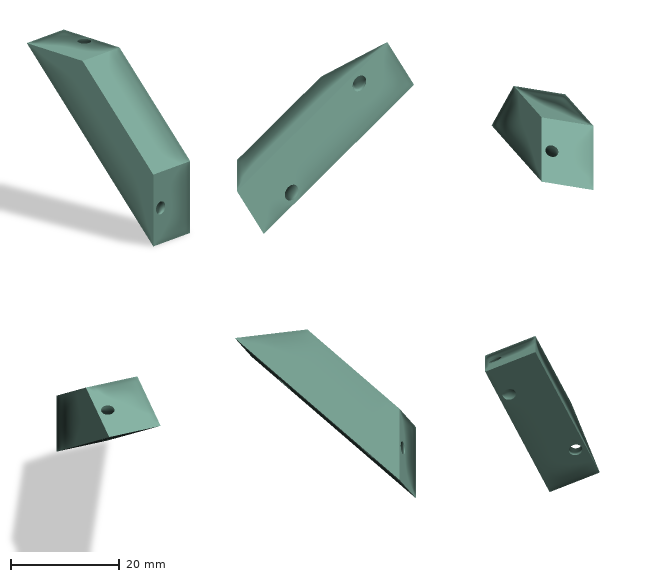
import cadquery as cq

side = 32.07
width = 10.0
end_length = 14.15
hole_diameter = 2.5
hole_edge_distance = 2.0

hole_inset = end_length / 2


def make_bar():
    """Diagonal bar with a horizontal top end and a vertical +X end."""
    outline = [
        (0, side),
        (end_length, side),
        (side, end_length),
        (side, 0),
    ]
    return cq.Workplane("XZ").polyline(outline).close().extrude(-width)


def make_vertical_hole():
    """Cutter through the top face and out of the sloped underside, near +Y."""
    return (
        cq.Workplane("XY")
        .center(hole_inset, width - hole_edge_distance)
        .circle(hole_diameter / 2)
        .extrude(side)
    )


def make_horizontal_hole():
    """Cutter through the +X face and out of the sloped underside, near -Y."""
    return (
        cq.Workplane("YZ")
        .center(hole_edge_distance, hole_inset)
        .circle(hole_diameter / 2)
        .extrude(side)
    )


result = make_bar().cut(make_vertical_hole()).cut(make_horizontal_hole())